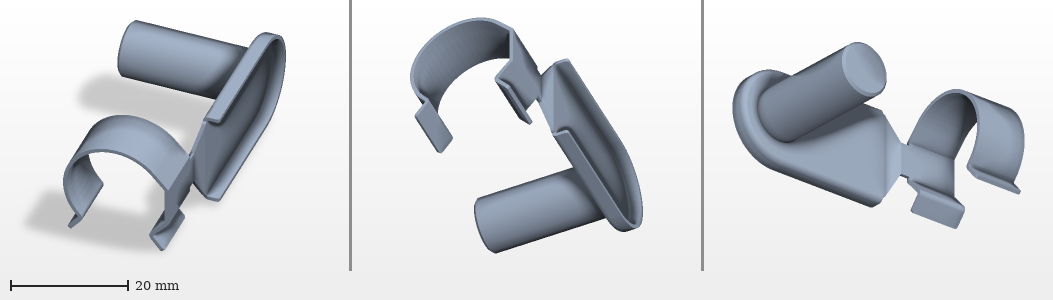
import cadquery as cq
import math

sheet = 0.7

pin_diameter = 10.0
pin_length = 23.0
pin_chamfer = 0.5

plate_top = 8.0
plate_radius = 8.95
plate_depth = 3.0
flange_length = 31.0
bend_radius = 1.0
flange_corner_radius = 0.5
round_center_y = plate_top - plate_radius
flange_end_y = plate_top - flange_length

tab_half_width = plate_radius - bend_radius
neck_half_width = 3.0
step_start_y = -23.75
step_end_y = -26.15
step_offset = 1.1
taper_start_y = -23.45
tab_corner_radius = 0.7

clip_width = 10.0
clip_end_y = plate_top - 46.0
clip_start_y = clip_end_y + clip_width
clip_radius = 9.65
flat_x = sheet - step_offset
clip_center_x = flat_x - clip_radius
shoulder_angle = 43.0
lip_angle = 40.0
lip_offset = 0.7
lip_bottom_z = -10.05
lip_bend_radius = bend_radius
lip_corner_radius = 0.5


def make_pin():
    pin = cq.Workplane("YZ").workplane(offset=-pin_length)
    pin = pin.circle(pin_diameter / 2).extrude(pin_length + sheet / 2)
    return pin.faces("<X").chamfer(pin_chamfer)


def round_ended_block(radius, x_start, x_end, end_y, edge_radius):
    """Block with a half-round +Y end and a rounded front edge, cut square at end_y."""
    spare = 2 * bend_radius
    block = (
        cq.Workplane("YZ")
        .workplane(offset=x_start)
        .moveTo(end_y - spare, -radius)
        .lineTo(round_center_y, -radius)
        .threePointArc((round_center_y + radius, 0), (round_center_y, radius))
        .lineTo(end_y - spare, radius)
        .close()
        .extrude(x_end - x_start)
        .faces("<X")
        .edges("not(<Y)")
        .fillet(edge_radius)
    )
    trim = cq.Workplane("XY").box(
        4 * plate_radius, 2 * spare, 4 * plate_radius
    ).translate((0, end_y - spare, 0))
    return block.cut(trim)


def make_plate():
    outside = round_ended_block(plate_radius, 0, plate_depth, flange_end_y, bend_radius)
    inside = round_ended_block(
        plate_radius - sheet, sheet, plate_depth + sheet, flange_end_y - sheet, bend_radius - sheet
    )
    plate = outside.cut(inside)
    return plate.edges("|Z").edges(">X and <Y").fillet(flange_corner_radius)


def make_tab():
    root_y = flange_end_y + sheet
    strip = (
        cq.Workplane("XY")
        .polyline([
            (0, root_y),
            (0, step_start_y),
            (-step_offset, step_end_y),
            (-step_offset, clip_start_y),
            (sheet - step_offset, clip_start_y),
            (sheet - step_offset, step_end_y),
            (sheet, step_start_y),
            (sheet, root_y),
        ])
        .close()
        .extrude(tab_half_width, both=True)
    )
    outline = (
        cq.Workplane("YZ")
        .workplane(offset=-2 * step_offset)
        .polyline([
            (root_y, tab_half_width),
            (taper_start_y, tab_half_width),
            (step_end_y, neck_half_width),
            (clip_start_y, neck_half_width),
            (clip_start_y, -neck_half_width),
            (step_end_y, -neck_half_width),
            (taper_start_y, -tab_half_width),
            (root_y, -tab_half_width),
        ])
        .close()
        .extrude(4 * step_offset)
    )
    for half_width in (tab_half_width, -tab_half_width):
        corner = cq.selectors.NearestToPointSelector((0, taper_start_y, half_width))
        outline = outline.edges("|X").edges(corner).fillet(tab_corner_radius)
    return strip.intersect(outline)


def line_crossing(angle_1, distance_1, angle_2, distance_2):
    """Crossing of two lines given by normal direction and distance from the origin."""
    a1 = math.radians(angle_1)
    a2 = math.radians(angle_2)
    scale = math.sin(a2 - a1)
    x = (distance_1 * math.sin(a2) - distance_2 * math.sin(a1)) / scale
    z = (distance_2 * math.cos(a1) - distance_1 * math.cos(a2)) / scale
    return x, z


def mirrored(point):
    return -point[0], point[1]


def opposite(point):
    return -point[0], -point[1]


def make_clip():
    def side_points(inset):
        radius = clip_radius - inset
        angle = math.radians(shoulder_angle)
        tangent = (radius * math.cos(angle), radius * math.sin(angle))
        shoulder = line_crossing(0, radius, shoulder_angle, radius)
        lip_bend = line_crossing(-shoulder_angle, radius, lip_angle, lip_offset - inset)
        return tangent, shoulder, lip_bend

    outer_tangent, outer_shoulder, outer_bend = side_points(0)
    inner_tangent, inner_shoulder, inner_bend = side_points(sheet)
    lip = math.radians(lip_angle)
    inner_tip = line_crossing(lip_angle, lip_offset - sheet, 90, lip_bottom_z)
    outer_tip = (inner_tip[0] + sheet * math.cos(lip), inner_tip[1] + sheet * math.sin(lip))

    clip = (
        cq.Workplane("XZ", origin=(clip_center_x, clip_start_y, 0))
        .moveTo(*outer_tip)
        .lineTo(*outer_bend)
        .lineTo(outer_shoulder[0], -outer_shoulder[1])
        .lineTo(*outer_shoulder)
        .lineTo(*outer_tangent)
        .threePointArc(mirrored(outer_tangent), opposite(outer_tangent))
        .lineTo(*mirrored(outer_bend))
        .lineTo(*mirrored(outer_tip))
        .lineTo(*mirrored(inner_tip))
        .lineTo(*mirrored(inner_bend))
        .lineTo(*opposite(inner_tangent))
        .threePointArc(mirrored(inner_tangent), inner_tangent)
        .lineTo(*inner_shoulder)
        .lineTo(inner_shoulder[0], -inner_shoulder[1])
        .lineTo(*inner_bend)
        .lineTo(*inner_tip)
        .close()
        .extrude(clip_width)
    )
    middle_y = clip_start_y - clip_width / 2
    for side in (1, -1):
        for point, radius in (
            (inner_bend, lip_bend_radius),
            (outer_bend, lip_bend_radius - sheet),
        ):
            bend_x = clip_center_x + side * point[0]
            bend = cq.selectors.NearestToPointSelector((bend_x, middle_y, point[1]))
            clip = clip.edges("|Y").edges(bend).fillet(radius)
        tip_x = clip_center_x + side * (inner_tip[0] + outer_tip[0]) / 2
        tip_z = (inner_tip[1] + outer_tip[1]) / 2
        for y in (clip_start_y, clip_end_y):
            corner = cq.selectors.NearestToPointSelector((tip_x, y, tip_z))
            clip = clip.edges(corner).fillet(lip_corner_radius)
    return clip


result = make_plate().union(make_pin()).union(make_tab()).union(make_clip())